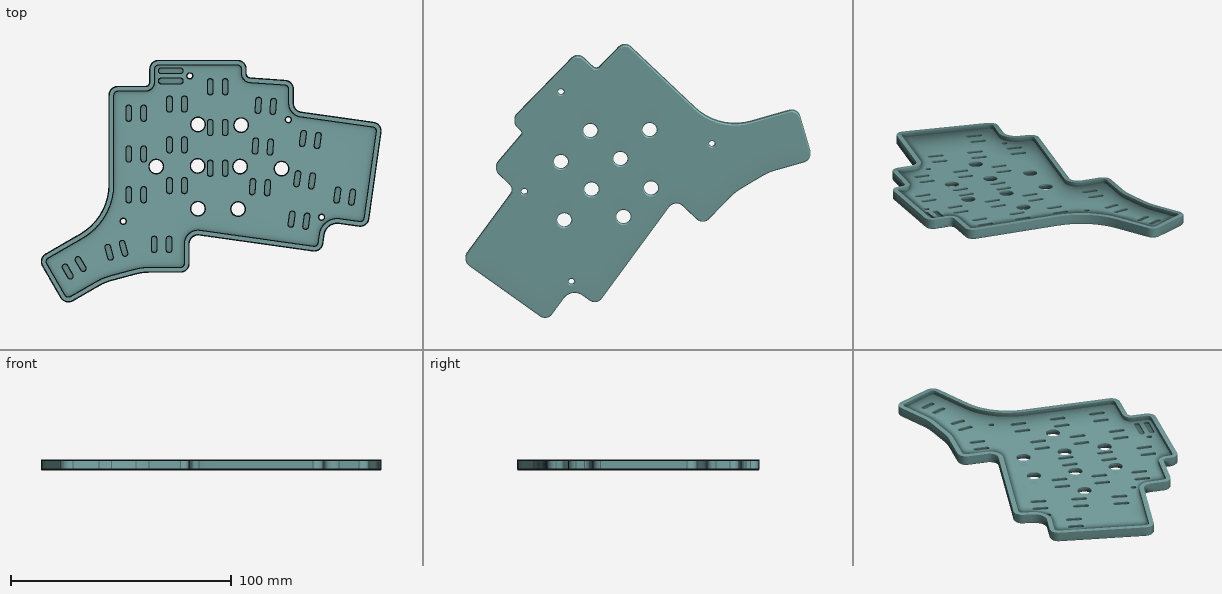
import cadquery as cq
import math

height = 4.6
rim_height = 2.0
rim_width = 2.2
bottom_chamfer = 0.5
floor_top = height - rim_height

key_pitch = 18.5
slot_length = 7.4
slot_width = 2.6
slot_spacing = 6.8
slot_depth = 1.1

ring_lean = 4.0
pinky_lean = 8.0

first_column_x = -34.2
column_spacing = 18.5

finger_columns = [
    (first_column_x, 12.3, 0.0),
    (first_column_x + column_spacing, 16.5, 0.0),
    (first_column_x + 2 * column_spacing, 24.3, 0.0),
    (23.2, 15.7, ring_lean),
    (42.2, 0.6, pinky_lean),
]
outer_switch = (60.4, -6.8, pinky_lean)

thumb_start = (-22.6, -28.6)
thumb_radius = 79.3
thumb_step = 15.0
thumb_count = 3

long_slot_length = 11.2
long_slot_centers = [(-18.5, 50.0), (-18.5, 45.4)]

screw_hole_diameter = 2.6
screw_holes = [(-9.9, 47.7), (34.8, 27.9), (49.9, -16.3), (-40.0, -18.2)]
foot_hole_diameter = 6.5
foot_holes = [
    (-6.2, 25.7), (13.4, 25.4),
    (-25.1, 6.6), (-6.3, 7.0), (13.0, 6.6), (31.7, 5.7),
    (-6.2, -12.5), (12.0, -12.6),
]

top_y = 54.8
shoulder_y = 43.0
left_x = -46.5
tab_left_x = -28.0
tab_right_x = 15.7
ring_right_x = 37.1
thumb_right_x = -10.2

ring_top_offset = 30.6

pinky_top = 36.6
pinky_right = 73.0
pinky_step_bottom = -11.0
pinky_step_right = 53.9
pinky_bottom = -25.0

thumb_above = 11.9
thumb_below = 12.6
thumb_end = 12.0

outer_radius = 4.0
inner_radius = 2.0
notch_radius = 4.0
step_notch_radius = 6.0
thumb_bend_radius = 23.1
palm_radius = 26.0


def shifted(origin, angle, along, across):
    """Point reached from origin by moving in axes turned counterclockwise by angle."""
    a = math.radians(angle)
    return (
        origin[0] + along * math.cos(a) - across * math.sin(a),
        origin[1] + along * math.sin(a) + across * math.cos(a),
    )


def thumb_switch(index):
    """Place and turn (x, y, angle) of a thumb switch on the fan."""
    hub = (thumb_start[0], thumb_start[1] - thumb_radius)
    angle = index * thumb_step
    x, y = shifted(hub, angle, 0, thumb_radius)
    return (x, y, angle)


def meeting_point(edge_a, edge_b):
    """Point where two straight edges, each given by a point and a direction, cross."""
    (ax, ay), angle_a = edge_a
    (bx, by), angle_b = edge_b
    a = math.radians(angle_a)
    b = math.radians(angle_b)
    along = ((bx - ax) * math.sin(b) - (by - ay) * math.cos(b)) / math.sin(b - a)
    return (ax + along * math.cos(a), ay + along * math.sin(a))


def rounded_polygon(corners, radii):
    """Closed wire through the corners, each rounded by its own tangent arc."""
    points = [cq.Vector(x, y, 0) for x, y in corners]
    arcs = []
    for i, corner in enumerate(points):
        to_last = (points[i - 1] - corner).normalized()
        to_next = (points[(i + 1) % len(points)] - corner).normalized()
        half_angle = to_last.getAngle(to_next) / 2
        reach = radii[i] / math.tan(half_angle)
        bisector = (to_last + to_next).normalized()
        middle = corner + bisector * (radii[i] / math.sin(half_angle) - radii[i])
        arcs.append((corner + to_last * reach, middle, corner + to_next * reach))
    path = cq.Workplane("XY").moveTo(*arcs[0][2].toTuple()[:2])
    for start, middle, end in arcs[1:] + arcs[:1]:
        path = path.lineTo(start.x, start.y).threePointArc((middle.x, middle.y), (end.x, end.y))
    return path.close()


def tray_outline():
    """Outer outline, clockwise from the top edge."""
    origin = (0, 0)
    ring_x, ring_y, _ = finger_columns[3]
    ring_top = shifted((ring_x, ring_y), -ring_lean, 0, ring_top_offset)
    thumbs = [thumb_switch(i) for i in range(thumb_count)]
    under_thumb = [shifted((x, y), angle, 0, -thumb_below) for x, y, angle in thumbs]
    last_x, last_y, last_angle = thumbs[-1]
    last_thumb = (last_x, last_y)

    edges = [
        ((0, top_y), 0, outer_radius),
        ((tab_right_x, 0), 90, inner_radius),
        (ring_top, -ring_lean, outer_radius),
        ((ring_right_x, 0), 90, notch_radius),
        (shifted(origin, -pinky_lean, 0, pinky_top), -pinky_lean, outer_radius),
        (shifted(origin, -pinky_lean, pinky_right, 0), 90 - pinky_lean, outer_radius),
        (shifted(origin, -pinky_lean, 0, pinky_step_bottom), -pinky_lean, step_notch_radius),
        (shifted(origin, -pinky_lean, pinky_step_right, 0), 90 - pinky_lean, outer_radius),
        (shifted(origin, -pinky_lean, 0, pinky_bottom), -pinky_lean, notch_radius),
        ((thumb_right_x, 0), 90, outer_radius),
        (under_thumb[0], thumbs[0][2], thumb_bend_radius),
        (under_thumb[1], thumbs[1][2], thumb_bend_radius),
        (under_thumb[2], thumbs[2][2], outer_radius),
        (shifted(last_thumb, last_angle, -thumb_end, 0), last_angle + 90, outer_radius),
        (shifted(last_thumb, last_angle, 0, thumb_above), last_angle, palm_radius),
        ((left_x, 0), 90, outer_radius),
        ((0, shoulder_y), 0, inner_radius),
        ((tab_left_x, 0), 90, outer_radius),
    ]
    corners = []
    for i, (point, angle, _) in enumerate(edges):
        next_point, next_angle, _ = edges[(i + 1) % len(edges)]
        corners.append(meeting_point((point, angle), (next_point, next_angle)))
    return rounded_polygon(corners, [radius for _, _, radius in edges])


def switch_places():
    """Place and turn (x, y, angle) of every switch."""
    places = []
    for x, y, lean in finger_columns:
        for row in (-1, 0, 1):
            places.append((*shifted((x, y), -lean, 0, row * key_pitch), -lean))
    x, y, lean = outer_switch
    places.append((x, y, -lean))
    places += [thumb_switch(i) for i in range(thumb_count)]
    return places


def slot_cutter(center, length, angle):
    """Blind slot sunk into the floor, its long side turned by angle from the X axis."""
    return (
        cq.Workplane("XY")
        .workplane(offset=floor_top - slot_depth)
        .center(*center)
        .slot2D(length, slot_width, angle)
        .extrude(height)
    )


body = tray_outline().extrude(height)
recess = tray_outline().offset2D(-rim_width).extrude(height).translate((0, 0, floor_top))
result = body.cut(recess)

for centers, diameter in ((screw_holes, screw_hole_diameter), (foot_holes, foot_hole_diameter)):
    result = result.cut(cq.Workplane("XY").pushPoints(centers).circle(diameter / 2).extrude(height))

result = result.faces("<Z").chamfer(bottom_chamfer)

for x, y, angle in switch_places():
    for side in (-1, 1):
        center = shifted((x, y), angle, side * slot_spacing / 2, 0)
        result = result.cut(slot_cutter(center, slot_length, angle + 90))

for center in long_slot_centers:
    result = result.cut(slot_cutter(center, long_slot_length, 0))